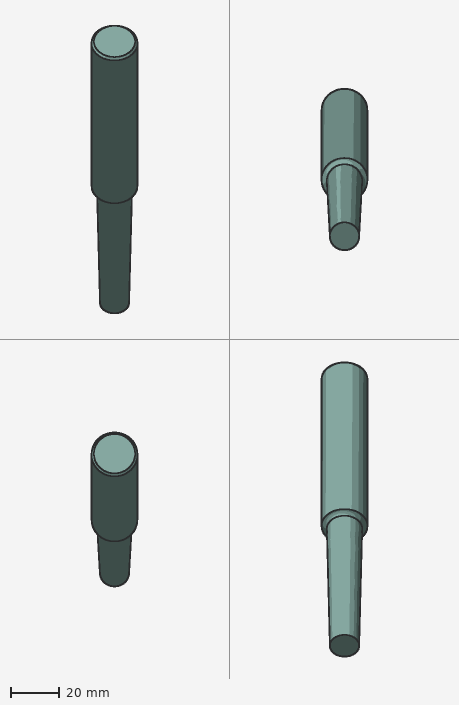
import math

import cadquery as cq

TOTAL_LENGTH = 165.1
SHANK_DIAMETER = 19.05
TOP_CHAMFER = 1.0
TAPER_LENGTH = 72.0
TAPER_TOP_DIAMETER = 14.7
TAPER_HALF_ANGLE = 1.0
COVE_HEIGHT = 1.7
COVE_RADIUS = 2.775

shank_radius = SHANK_DIAMETER / 2
taper_top_radius = TAPER_TOP_DIAMETER / 2
tip_radius = taper_top_radius - TAPER_LENGTH * math.tan(math.radians(TAPER_HALF_ANGLE))
shank_bottom = TAPER_LENGTH + COVE_HEIGHT


def pin_profile():
    """Half section in the XZ plane, from the tip up to the chamfered top of the shank."""
    return (
        cq.Workplane("XZ")
        .lineTo(tip_radius, 0)
        .lineTo(taper_top_radius, TAPER_LENGTH)
        .radiusArc((shank_radius, shank_bottom), COVE_RADIUS)
        .lineTo(shank_radius, TOTAL_LENGTH - TOP_CHAMFER)
        .lineTo(shank_radius - TOP_CHAMFER, TOTAL_LENGTH)
        .lineTo(0, TOTAL_LENGTH)
        .close()
    )


result = pin_profile().revolve(360, (0, 0, 0), (0, 1, 0))